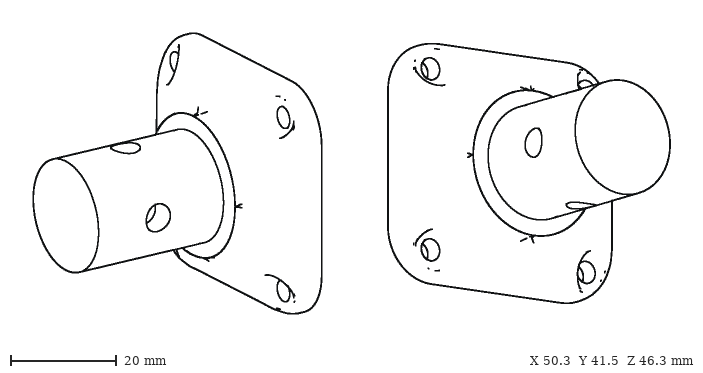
import cadquery as cq
import math

flange_width = 50.3
flange_height = 46.25
corner_radius = 10.05
rim_thickness = 1.0

total_depth = 41.5
flange_depth = 12.85
collar_radius = 14.0
collar_thickness = 0.6
collar_edge_radius = 0.5
rim_handle = 0.5
collar_handle = 0.35
flare_sections = 9
last_blend = 0.004

spigot_diameter = 22.0
cross_hole_diameter = 5.55
cross_hole_from_end = 13.7
cross_hole_depth = 5.05

screw_spacing_x = 36.0
screw_spacing_z = 35.0
screw_diameter = 4.2
counterbore_diameter = 7.35
counterbore_floor = 3.9
counterbore_floor_radius = 0.35
mouth_radius = 0.4

flare_depth = flange_depth - rim_thickness - collar_thickness
spigot_radius = spigot_diameter / 2


def plane_at(depth):
    """XZ plane facing -Y, at a distance in front of the wall face (Y = 0)."""
    return cq.Workplane("XZ", origin=(0, -depth, 0))


def flange_section(depth, blend):
    """Section wire between the collar circle (blend 0) and the full rectangle (blend 1)."""
    radius = collar_radius + blend * (corner_radius - collar_radius)
    half_width = collar_radius + blend * (flange_width / 2 - collar_radius)
    half_height = collar_radius + blend * (flange_height / 2 - collar_radius)
    x = half_width - radius
    z = half_height - radius
    diagonal = radius * math.sqrt(0.5)
    return (
        plane_at(depth)
        .moveTo(-x, half_height)
        .lineTo(x, half_height)
        .threePointArc((x + diagonal, z + diagonal), (half_width, z))
        .lineTo(half_width, -z)
        .threePointArc((x + diagonal, -z - diagonal), (x, -half_height))
        .lineTo(-x, -half_height)
        .threePointArc((-x - diagonal, -z - diagonal), (-half_width, -z))
        .lineTo(-half_width, z)
        .threePointArc((-x - diagonal, z + diagonal), (-x, half_height))
        .close()
    )


def make_flange():
    rim = flange_section(0, 1).extrude(rim_thickness)
    wires = []
    for index in range(flare_sections):
        t = index / (flare_sections - 1)
        travel = 3 * t * (1 - t) ** 2 * rim_handle + 3 * t**2 * (1 - t) * (1 - collar_handle) + t**3
        blend = max((1 - t) ** 2 * (1 + 2 * t), last_blend)
        wires.append(flange_section(rim_thickness + travel * flare_depth, blend).val())
    flare = cq.Workplane(cq.Solid.makeLoft(wires))
    collar = (
        plane_at(flange_depth - collar_thickness)
        .circle(collar_radius)
        .extrude(collar_thickness)
        .faces("<Y")
        .edges()
        .fillet(collar_edge_radius)
    )
    return rim.union(flare).union(collar)


def mouth_box(x, z):
    """Selects edges lying wholly around one counterbore."""
    reach = counterbore_diameter / 2 + mouth_radius
    return cq.selectors.BoxSelector(
        (x - reach, -flange_depth, z - reach),
        (x + reach, -rim_thickness, z + reach),
        boundingbox=True,
    )


def cut_screw_holes(body):
    """Stepped screw holes with a rounded counterbore floor and mouth."""
    for x in (-screw_spacing_x / 2, screw_spacing_x / 2):
        for z in (-screw_spacing_z / 2, screw_spacing_z / 2):
            through = plane_at(0).center(x, z).circle(screw_diameter / 2).extrude(flange_depth)
            counterbore = (
                plane_at(counterbore_floor)
                .center(x, z)
                .circle(counterbore_diameter / 2)
                .extrude(flange_depth)
                .faces(">Y")
                .edges()
                .fillet(counterbore_floor_radius)
            )
            body = body.cut(counterbore)
            body = body.edges(mouth_box(x, z)).edges("%BSPLINE").fillet(mouth_radius)
            body = body.cut(through)
    return body


def cut_cross_holes(body):
    """Flat-bottomed holes at quarter turns around the spigot."""
    cutter = (
        cq.Workplane("XY")
        .workplane(offset=spigot_radius - cross_hole_depth)
        .center(0, cross_hole_from_end - total_depth)
        .circle(cross_hole_diameter / 2)
        .extrude(2 * cross_hole_depth)
    )
    for quarter in range(4):
        body = body.cut(cutter.rotate((0, 0, 0), (0, 1, 0), 90 * quarter))
    return body


spigot = plane_at(0).circle(spigot_radius).extrude(total_depth)
result = cut_cross_holes(cut_screw_holes(make_flange()).union(spigot))